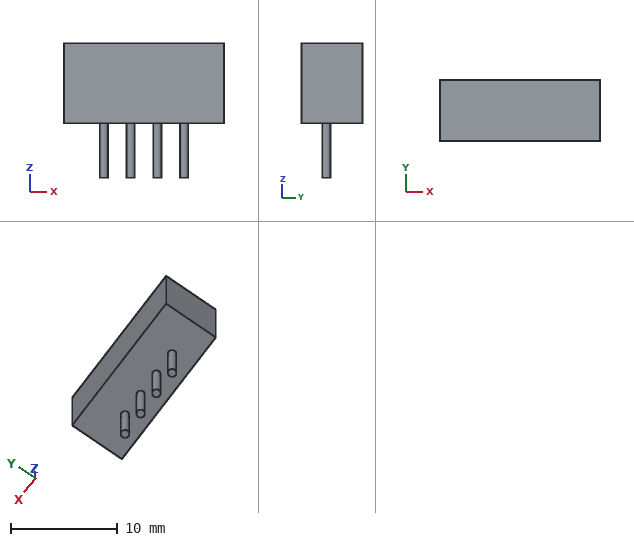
import cadquery as cq

housing_length = 15.0
housing_width = 5.75
housing_height = 7.52

total_height = 12.62
pin_length = total_height - housing_height
pin_diameter = 0.8
pin_count = 4
pin_pitch = 2.5
pin_row_y = -0.52


def make_housing():
    """Plain block resting on the plane Z = 0."""
    return cq.Workplane("XY").box(
        housing_length, housing_width, housing_height, centered=(True, True, False)
    )


def make_pin(x):
    """Round pin hanging down from the underside of the housing."""
    return (
        cq.Workplane("XY")
        .center(x, pin_row_y)
        .circle(pin_diameter / 2)
        .extrude(-pin_length)
    )


housing = make_housing()

first_pin_x = -pin_pitch * (pin_count - 1) / 2
pins = [make_pin(first_pin_x + i * pin_pitch) for i in range(pin_count)]

result = cq.Compound.makeCompound([housing.val(), *[pin.val() for pin in pins]])